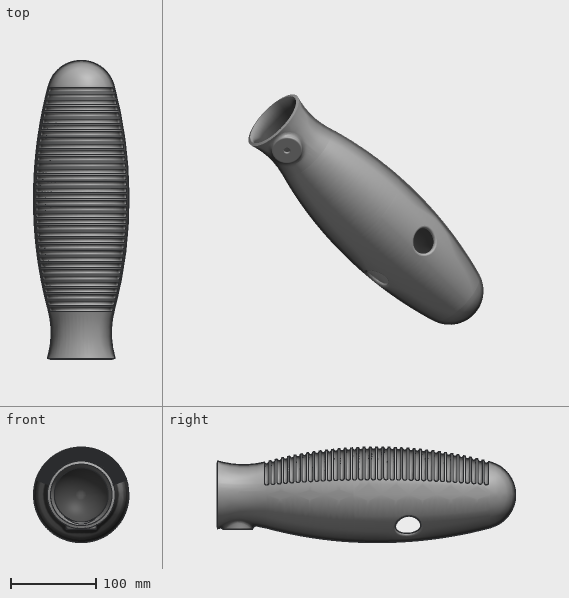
import cadquery as cq
import math

half_length = 175.5
max_radius = 56.0
wall = 4.0

nose_radius = 40.0
widest_y = 12.5
mid_y = -14.5
rear_grip_radius = 491.5
neck_start_y = -117.0
neck_arc_radius = 105.3
mouth_overrun = 3.5

groove_count = 36
groove_pitch = 7.5
groove_radius = 2.63
groove_end_angle = 21.0

side_hole_diameter = 30.0
side_hole_y = 49.0
side_hole_angle = 45.0
side_hole_fillet = 2.5
side_hole_depth = 1.5 * max_radius

boss_y = -151.0
boss_diameter = 35.8
boss_bottom_z = -40.7
boss_root_fillet = 4.2
boss_bottom_fillet = 1.8
recess_diameter = 30.0
boss_floor = 3.5
recess_floor_fillet = 1.8
recess_mouth_fillet = 2.0
boss_hole_diameter = 8.0
boss_hole_overrun = 3.5

edge_reach = 2.0
boss_root_low_z = -38.57
recess_mouth_low_z = -35.27
boss_edges_high_z = -17.5
side_hole_rim_radius = 51.5

nose_centre = (half_length - nose_radius, 0.0)
nose_to_widest = nose_centre[0] - widest_y
front_grip_radius = (nose_to_widest**2 + max_radius**2 - nose_radius**2) / (
    2 * (max_radius - nose_radius)
)
front_centre = (widest_y, max_radius - front_grip_radius)


def along(centre, radius, angle):
    """Point at a distance from a centre; the angle is measured from the radial direction towards +Y."""
    return (centre[0] + radius * math.sin(angle), centre[1] + radius * math.cos(angle))


nose_angle = math.atan2(nose_to_widest, -front_centre[1])
mid_angle = math.asin((mid_y - widest_y) / front_grip_radius)
rear_centre = along(front_centre, front_grip_radius - rear_grip_radius, mid_angle)
neck_angle = math.asin((neck_start_y - rear_centre[0]) / rear_grip_radius)
neck_centre = along(rear_centre, rear_grip_radius + neck_arc_radius, neck_angle)
rim_angle = math.asin((neck_centre[0] + half_length) / (neck_arc_radius + wall))
mouth = along(neck_centre, -(neck_arc_radius + wall), rim_angle)
neck_throat = neck_centre[1] - neck_arc_radius


def body_of_revolution(inset, end_point):
    """Solid inside the outer profile moved inwards by the inset, closed off at the end point."""
    nose = nose_radius - inset
    front = front_grip_radius - inset
    rear = rear_grip_radius - inset
    neck = -(neck_arc_radius + inset)
    tip = along(nose_centre, nose, math.pi / 2)
    rim = along(neck_centre, neck, rim_angle)
    return (
        cq.Workplane("XY")
        .moveTo(0, tip[0])
        .threePointArc(
            along(nose_centre, nose, (math.pi / 2 + nose_angle) / 2)[::-1],
            along(nose_centre, nose, nose_angle)[::-1],
        )
        .threePointArc(
            along(front_centre, front, (nose_angle + mid_angle) / 2)[::-1],
            along(front_centre, front, mid_angle)[::-1],
        )
        .threePointArc(
            along(rear_centre, rear, (mid_angle + neck_angle) / 2)[::-1],
            along(rear_centre, rear, neck_angle)[::-1],
        )
        .threePointArc(
            along(neck_centre, neck, (neck_angle + rim_angle) / 2)[::-1],
            rim[::-1],
        )
        .lineTo(end_point[1], end_point[0])
        .lineTo(0, end_point[0])
        .close()
        .revolve(360, (0, 0, 0), (0, 1, 0))
    )


def outer_radius(y):
    """Radius of the outer grip surface at a place along the axis."""
    if y >= mid_y:
        centre, radius = front_centre, front_grip_radius
    else:
        centre, radius = rear_centre, rear_grip_radius
    return centre[1] + math.sqrt(radius**2 - (y - centre[0]) ** 2)


def groove_cutter(y):
    """Round-bottomed finger groove over the top of the grip, with ball ends."""
    reach = outer_radius(y)
    end_angle = math.radians(groove_end_angle)
    end_x = reach * math.cos(end_angle)
    end_z = reach * math.sin(end_angle)
    cutter = (
        cq.Workplane("XY", origin=(0, y, 0))
        .center(reach, 0)
        .circle(groove_radius)
        .revolve(180 - 2 * groove_end_angle, (-reach, 0, 0), (-reach, -1, 0))
        .rotate((0, y, 0), (0, y + 3.5, 0), -groove_end_angle)
    )
    for side in (-1, 1):
        ball = cq.Workplane("XY").sphere(groove_radius).translate((side * end_x, y, end_z))
        cutter = cutter.union(ball)
    return cutter


def boss_cylinder(diameter, bottom_z):
    """Upright cylinder on the boss axis, from its bottom up into the neck."""
    return (
        cq.Workplane("XY", origin=(0, boss_y, bottom_z))
        .circle(diameter / 2)
        .extrude(-bottom_z - neck_throat / 2)
    )


def edges_near(y, low_z, high_z):
    """Selector for the edges centred close to a place along the axis, within a height band."""
    return cq.selectors.BoxSelector(
        (-max_radius, y - edge_reach, low_z), (max_radius, y + edge_reach, high_z)
    )


def shell_with_boss():
    """Hollow handle with the recessed boss under its neck."""
    boss = boss_cylinder(boss_diameter, boss_bottom_z).faces("<Z").edges().fillet(boss_bottom_fillet)
    shell = body_of_revolution(0, mouth).union(boss)
    shell = shell.edges(edges_near(boss_y, boss_root_low_z, boss_edges_high_z)).fillet(boss_root_fillet)
    shell = shell.cut(body_of_revolution(wall, (-half_length - mouth_overrun, mouth[1])))

    recess = boss_cylinder(recess_diameter, boss_bottom_z + boss_floor)
    shell = shell.cut(recess.faces("<Z").edges().fillet(recess_floor_fillet))
    mouth_edges = edges_near(boss_y, recess_mouth_low_z, boss_edges_high_z)
    shell = shell.edges(mouth_edges).fillet(recess_mouth_fillet)
    return shell.cut(boss_cylinder(boss_hole_diameter, boss_bottom_z - boss_hole_overrun))


def cut_side_holes(shell):
    """Two slanted holes through the lower wall, rounded on the outside."""
    drill = cq.Workplane("XY").circle(side_hole_diameter / 2).extrude(-side_hole_depth)
    for side in (-1, 1):
        slanted = drill.rotate((0, 0, 0), (0, 1, 0), side * side_hole_angle)
        shell = shell.cut(slanted.translate((0, side_hole_y, 0)))
    rims = [
        edge
        for edge in shell.edges(edges_near(side_hole_y, -max_radius, 0)).vals()
        if edge.geomType() != "LINE"
        and math.hypot(edge.Center().x, edge.Center().z) > side_hole_rim_radius
    ]
    return shell.newObject(rims).fillet(side_hole_fillet)


def cut_grooves(shell):
    """Row of finger grooves from the neck to the nose."""
    for index in range(groove_count):
        shell = shell.cut(groove_cutter(neck_start_y + index * groove_pitch))
    return shell


handle = cut_grooves(cut_side_holes(shell_with_boss()))

result = cq.Compound.makeCompound([handle.val()])